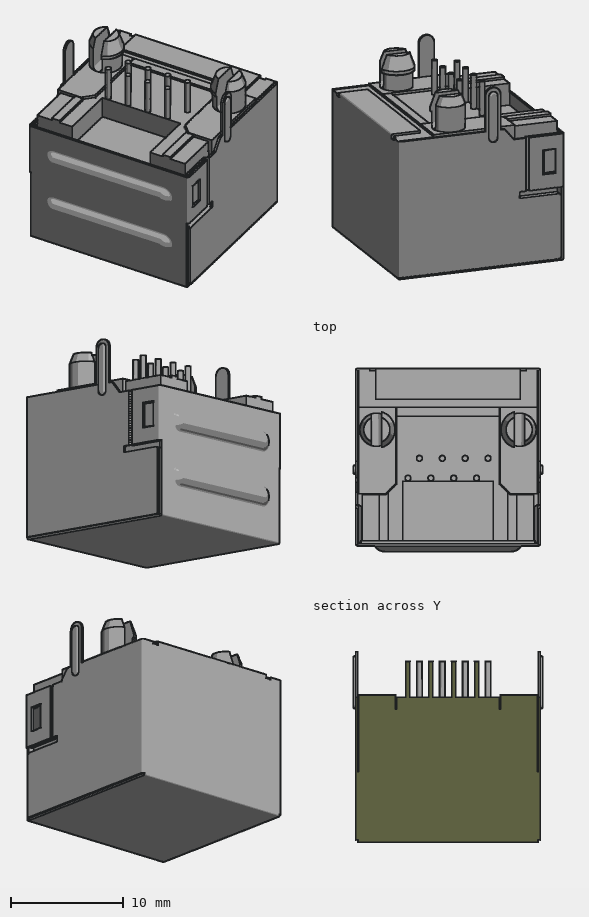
import cadquery as cq
import math


sheet = 0.2
shell_half = 8.2
shell_depth = 15.75
wall_inner = shell_half - sheet
clearance = 0.08
fold_radius = 0.24
bottom_radius = 0.19
strip_radius = 0.17
rear_top = 12.88
front_top = 11.83
wall_front = 0.32
wall_corner = 0.2
slope_top_y, slope_bottom_y = 5.66, 4.78
slot_bottom, slot_top = 6.29, 6.88
slot_rear = 4.28
slot_corner = 0.14
jog_rear, jog_front = 3.7, 3.52
tab_rear = 3.33

window_front, window_rear = 0.81, 2.06
window_bottom, window_top = 8.23, 10.5
spur_margin = 0.08
spur_height = 0.2

strip_half = 6.39
strip_front = 13.01
relief_width = 0.54
relief_depth = 0.2

housing_half = wall_inner - clearance
housing_front = 0.45
housing_rear = shell_depth - sheet
housing_top = rear_top
pad_top = 13.08
block_half = 7.59
block_rear = 4.61
pad_rear = 12.3
pad_inner = 4.63
pad_chamfer = 0.91
pad_groove = 0.07
bridge_front = 11.5
ridge_inner, ridge_outer = 5.29, 6.08
pocket_half = 4.0
pocket_rear = 5.76
pocket_floor = 10.85

peg_x, peg_y = 6.34, 10.31
peg_radius = 1.47
peg_tip_radius = 1.13
peg_top = 16.25
peg_taper_start = 15.38
peg_slot_half = 0.45
barb_radius = 1.64
barb_tip_radius = 1.18
barb_undercut, barb_bottom, barb_top = 14.53, 14.64, 14.95

pin_count = 8
pin_pitch = 1.01
pin_radius = 0.25
pin_top = 16.04
pin_rows_y = (6.02, 7.77)

leg_y = 6.78
leg_width = 1.45
leg_top = 16.9
leg_bead_width = 0.81
leg_bead_bottom, leg_bead_top = 11.83, 16.53
leg_bead_height = 0.2
leg_bead_round = 0.17

rib_heights = (4.0, 8.97)
rib_straight_half = 5.6
rib_half_width = 1.03
rib_height = 0.5
rib_crown_radius = 1.01
rib_slope = math.radians(45)


def block(x0, x1, y0, y1, z0, z1):
    """Box between two opposite corners."""
    return cq.Workplane("XY").box(x1 - x0, y1 - y0, z1 - z0, centered=False).translate((x0, y0, z0))


def both_sides(left):
    """The left-hand solid together with its mirror image."""
    return left.union(left.mirror("YZ"))


def side_sketch(outer_x):
    """Y-Z sketch plane at -outer_x, on the left; extrusions run inwards to +X."""
    return cq.Workplane("YZ", origin=(-outer_x, 0, 0))


def make_left_pad(margin, bottom):
    """Chamfered pad under a board peg, grown by a margin along its inner edges."""
    inner_x = -pad_inner + margin
    front_y = block_rear - margin
    chamfer = pad_chamfer + margin * (2 - math.sqrt(2))
    return (
        cq.Workplane("XY", origin=(0, 0, bottom))
        .moveTo(-housing_half, pad_rear)
        .lineTo(inner_x, pad_rear)
        .lineTo(inner_x, front_y + chamfer)
        .lineTo(inner_x - chamfer, front_y)
        .lineTo(-housing_half, front_y)
        .close()
        .extrude(pad_top - bottom)
    )


def make_housing():
    body = block(-housing_half, housing_half, housing_front, housing_rear, sheet, housing_top)

    narrow_side = block(-housing_half, -block_half, housing_front, block_rear, slot_bottom, housing_top)
    body = body.cut(both_sides(narrow_side))

    ridge = block(-ridge_outer, -ridge_inner, housing_front, block_rear, pocket_floor, pad_top)
    bridge = block(-pad_inner, pad_inner, bridge_front, pad_rear, pocket_floor, pad_top)
    body = body.union(both_sides(ridge)).union(bridge)
    body = body.cut(both_sides(make_left_pad(pad_groove, front_top)))
    body = body.union(both_sides(make_left_pad(0, slot_bottom)))

    pocket = block(-pocket_half, pocket_half, housing_front, pocket_rear, pocket_floor, pad_top)
    return body.cut(pocket)


def make_left_wall():
    upper = (
        side_sketch(shell_half)
        .moveTo(shell_depth, sheet)
        .lineTo(shell_depth, rear_top)
        .lineTo(slope_top_y, rear_top)
        .lineTo(slope_bottom_y, front_top)
        .lineTo(jog_rear, front_top)
        .lineTo(jog_rear, sheet)
        .close()
        .extrude(sheet)
    )
    lower = (
        block(-shell_half, -wall_inner, wall_front, jog_rear, sheet, slot_bottom)
        .edges("|X and <Y")
        .fillet(wall_corner)
    )
    slot = (
        block(-shell_half, -wall_inner, slot_rear - 2 * slot_corner, slot_rear, slot_bottom, slot_top)
        .edges("|X and >Y")
        .fillet(slot_corner)
        .union(block(-shell_half, -wall_inner, jog_rear, slot_rear - slot_corner, slot_bottom, slot_top))
    )
    infill = block(-wall_inner, -housing_half, housing_front, shell_depth, sheet, slot_bottom)
    return upper.cut(slot).union(lower).union(infill)


def make_left_flap():
    """Part of the side wall that jogs inwards to pass behind the front tab."""
    step = sheet + clearance
    flap = (
        cq.Workplane("XY", origin=(0, 0, slot_top))
        .moveTo(-shell_half, jog_rear)
        .lineTo(-wall_inner, jog_rear)
        .lineTo(-wall_inner + step, jog_front)
        .lineTo(-wall_inner + step, wall_front)
        .lineTo(-shell_half + step, wall_front)
        .lineTo(-shell_half + step, jog_front)
        .close()
        .extrude(front_top - slot_top)
    )
    spur = (
        cq.Workplane("XY", origin=(0, 0, window_bottom + spur_margin))
        .moveTo(-housing_half, window_front)
        .lineTo(-housing_half - spur_height, window_rear - 2 * spur_margin)
        .lineTo(-housing_half, window_rear - 2 * spur_margin)
        .close()
        .extrude(window_top - window_bottom - 2 * spur_margin)
    )
    return flap.union(spur)


def make_left_leg():
    straight_top = leg_top - leg_width / 2
    blade = (
        side_sketch(shell_half)
        .moveTo(leg_y - leg_width / 2, front_top)
        .lineTo(leg_y - leg_width / 2, straight_top)
        .threePointArc((leg_y, leg_top), (leg_y + leg_width / 2, straight_top))
        .lineTo(leg_y + leg_width / 2, front_top)
        .close()
        .extrude(sheet)
    )
    bead = (
        side_sketch(shell_half + leg_bead_height)
        .center(leg_y, (leg_bead_bottom + leg_bead_top) / 2)
        .slot2D(leg_bead_top - leg_bead_bottom, leg_bead_width, 90)
        .extrude(leg_bead_height)
        .faces("<X")
        .edges()
        .fillet(leg_bead_round)
    )
    return blade.union(bead)


def make_front_and_bottom():
    """Front panel folded up from the bottom, with a tab folded back on each side."""
    lower = block(-wall_inner, wall_inner, 0, sheet, 0, slot_top)
    upper = (
        block(-shell_half, shell_half, 0, sheet, slot_top, front_top)
        .union(both_sides(block(-shell_half, -wall_inner, 0, tab_rear, slot_top, front_top)))
        .edges("|Z and <Y")
        .fillet(fold_radius)
    )
    window = block(-shell_half, -wall_inner, window_front, window_rear, window_bottom, window_top)
    bottom = block(-wall_inner, wall_inner, 0, shell_depth, 0, sheet)
    folded = bottom.union(lower).edges("|X and <Z").fillet(bottom_radius)
    return folded.union(upper.cut(both_sides(window)))


def make_rear():
    """Rear wall with the cover strip folded forward over the top."""
    wall = block(-shell_half, shell_half, housing_rear, shell_depth, sheet, rear_top)
    relief = block(
        -strip_half - relief_width, -strip_half, housing_rear, shell_depth, rear_top - relief_depth, rear_top
    )
    strip = (
        block(-strip_half, strip_half, strip_front, shell_depth, rear_top, pad_top)
        .edges("|X and >Y and >Z")
        .fillet(strip_radius)
    )
    return wall.cut(both_sides(relief)).union(strip)


def make_left_peg():
    """Split peg: plain outer half and barbed inner half around a rounded slot."""
    axis_start, axis_end = (0, 0, 0), (0, 1, 0)
    plain = (
        cq.Workplane("XZ")
        .moveTo(0, housing_top)
        .lineTo(peg_radius, housing_top)
        .lineTo(peg_radius, peg_taper_start)
        .lineTo(peg_tip_radius, peg_top)
        .lineTo(0, peg_top)
        .close()
        .revolve(360, axis_start, axis_end)
    )
    barbed = (
        cq.Workplane("XZ")
        .moveTo(0, housing_top)
        .lineTo(peg_radius, housing_top)
        .lineTo(peg_radius, barb_undercut)
        .lineTo(barb_radius, barb_bottom)
        .lineTo(barb_radius, barb_top)
        .lineTo(barb_tip_radius, peg_top)
        .lineTo(0, peg_top)
        .close()
        .revolve(360, axis_start, axis_end)
    )
    outer_side = block(-barb_radius, 0, -barb_radius, barb_radius, housing_top, peg_top)
    inner_side = outer_side.mirror("YZ")
    slot = (
        cq.Workplane("XZ", origin=(0, barb_radius, 0))
        .moveTo(-peg_slot_half, peg_top)
        .lineTo(-peg_slot_half, pad_top + peg_slot_half)
        .threePointArc((0, pad_top), (peg_slot_half, pad_top + peg_slot_half))
        .lineTo(peg_slot_half, peg_top)
        .close()
        .extrude(2 * barb_radius)
    )
    peg = plain.intersect(outer_side).union(barbed.intersect(inner_side)).cut(slot)
    return peg.translate((-peg_x, peg_y, 0))


def make_pins():
    """Single file of pins in X, alternating between the two rows in Y."""
    pins = cq.Workplane("XY")
    for index in range(pin_count):
        x = (index - (pin_count - 1) / 2) * pin_pitch
        y = pin_rows_y[index % 2]
        base = cq.Workplane("XY", origin=(x, y, pocket_floor))
        pin = base.circle(pin_radius).extrude(pin_top - pocket_floor)
        pins = pins.union(pin)
    return pins


def make_rib(z):
    """Bulged rib: round crown, sloping flanks and a rounded foot, with domed ends."""
    slope = math.tan(rib_slope)
    radius_sum = (rib_half_width * slope - rib_height) / (1 / math.cos(rib_slope) - 1)
    foot_radius = radius_sum - rib_crown_radius

    def crown_point(angle):
        drop = rib_crown_radius * (1 - math.cos(angle))
        return rib_crown_radius * math.sin(angle), drop - rib_height

    def foot_point(angle):
        rise = foot_radius * (1 - math.cos(angle))
        return rib_half_width - foot_radius * math.sin(angle), -rise

    half_section = (
        cq.Workplane("XY")
        .moveTo(0, sheet)
        .lineTo(rib_half_width, sheet)
        .lineTo(rib_half_width, 0)
        .threePointArc(foot_point(rib_slope / 2), foot_point(rib_slope))
        .lineTo(*crown_point(rib_slope))
        .threePointArc(crown_point(rib_slope / 2), (0, -rib_height))
        .close()
    )
    dome = half_section.revolve(360, (0, 0, 0), (0, 1, 0))
    half_bar = half_section.toPending().extrude(2 * rib_straight_half).rotate((0, 0, 0), (0, 1, 0), 90)
    half_bar = half_bar.translate((-rib_straight_half, 0, 0))
    rib = half_bar.union(half_bar.mirror("XY"))
    for x in (-rib_straight_half, rib_straight_half):
        rib = rib.union(dome.translate((x, 0, 0)))
    return rib.translate((0, 0, z))


wrap = make_rear().union(both_sides(make_left_wall()))
wrap = wrap.edges("|Z and >Y").edges("<X or >X").fillet(fold_radius)

result = make_housing().union(make_front_and_bottom()).union(wrap)
result = result.union(both_sides(make_left_flap()))
result = result.union(both_sides(make_left_leg()))
result = result.union(both_sides(make_left_peg()))
result = result.union(make_pins())
for rib_z in rib_heights:
    result = result.union(make_rib(rib_z))